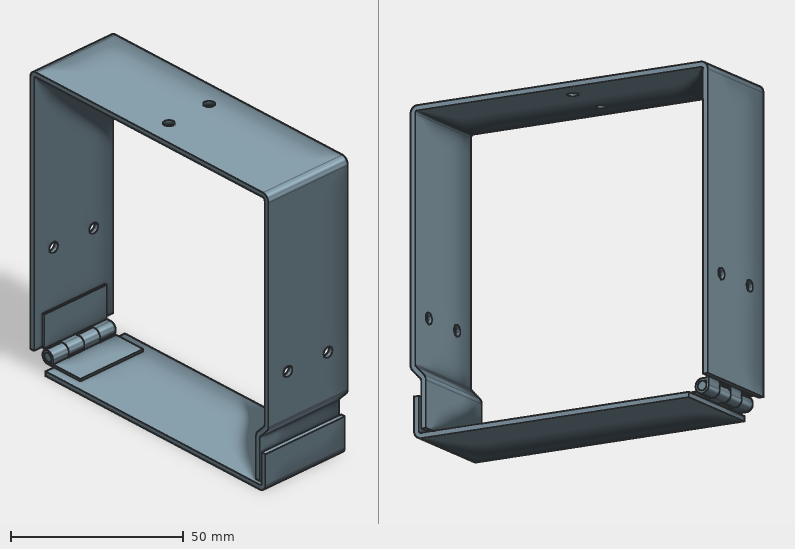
import cadquery as cq
import math


FRAME_WIDTH = 100.0
FRAME_HEIGHT = 99.9
STRAP_WIDTH = 31.7
STRAP_THICKNESS = 1.6
BEND_OUTER_RADIUS = 2.4
BEND_INNER_RADIUS = BEND_OUTER_RADIUS - STRAP_THICKNESS

LEFT_WALL_END_Z = 6.4
RIGHT_WALL_END_Z = 2.9
JOG_DEPTH = 3.6
JOG_START_Z = 21.4
JOG_END_Z = 17.6

FLOOR_START_X = -43.6
LIP_INSET = 1.2
LIP_TOP_Z = 12.8

HOLE_DIAMETER = 3.5
HOLE_SPACING = 16.0
SIDE_HOLE_Z = 37.9

HINGE_WIDTH = 25.0
KNUCKLE_COUNT = 4
KNUCKLE_WIDTH = HINGE_WIDTH / KNUCKLE_COUNT
PIN_DIAMETER = 2.9
LEAF_THICKNESS = 0.8
KNUCKLE_RADIUS = PIN_DIAMETER / 2 + LEAF_THICKNESS
LEAF_REACH = 13.7

LEFT_X = -FRAME_WIDTH / 2
RIGHT_X = FRAME_WIDTH / 2
PIN_X = LEFT_X + STRAP_THICKNESS + KNUCKLE_RADIUS
PIN_Z = STRAP_THICKNESS + KNUCKLE_RADIUS


def hinge_box(x_range, z_range, y_start, width):
    """Box between two X and two Z limits, running from y_start towards +Y."""
    size_x = x_range[1] - x_range[0]
    size_z = z_range[1] - z_range[0]
    box = cq.Workplane("XY").box(size_x, width, size_z, centered=False)
    return box.translate((x_range[0], y_start, z_range[0]))


def strap(path_points, corner_radii):
    """Bent strip whose outer face follows path_points, with the material on the right of travel.

    Each inner path point is a bend. A bend is rounded with its pair of radii:
    the first on the outer face, the second on the inner face.
    """
    directions = []
    for start, end in zip(path_points, path_points[1:]):
        length = math.dist(start, end)
        directions.append(((end[0] - start[0]) / length, (end[1] - start[1]) / length))
    neighbours = zip([directions[0]] + directions, directions + [directions[-1]])
    inner_points = []
    for point, (before, after) in zip(path_points, neighbours):
        scale = STRAP_THICKNESS / (1 + before[0] * after[0] + before[1] * after[1])
        offset_x = (before[1] + after[1]) * scale
        offset_z = -(before[0] + after[0]) * scale
        inner_points.append((point[0] + offset_x, point[1] + offset_z))

    outline = cq.Workplane("XZ").polyline(path_points + inner_points[::-1]).close()
    body = outline.extrude(STRAP_WIDTH / 2, both=True)
    for outer, inner, radii in zip(path_points[1:-1], inner_points[1:-1], corner_radii):
        for (x, z), radius in zip((outer, inner), radii):
            corner_edge = cq.selectors.NearestToPointSelector((x, 0, z))
            body = body.edges("|Y").edges(corner_edge).fillet(radius)
    return body


def upper_strap():
    path = [
        (LEFT_X, LEFT_WALL_END_Z),
        (LEFT_X, FRAME_HEIGHT),
        (RIGHT_X, FRAME_HEIGHT),
        (RIGHT_X, JOG_START_Z),
        (RIGHT_X - JOG_DEPTH, JOG_END_Z),
        (RIGHT_X - JOG_DEPTH, RIGHT_WALL_END_Z),
    ]
    convex_bend = (BEND_OUTER_RADIUS, BEND_INNER_RADIUS)
    concave_bend = (BEND_INNER_RADIUS, BEND_OUTER_RADIUS)
    body = strap(path, [convex_bend, convex_bend, convex_bend, concave_bend])

    half_spacing = HOLE_SPACING / 2
    top_holes = (
        cq.Workplane("XY", origin=(0, 0, FRAME_HEIGHT))
        .pushPoints([(0, -half_spacing), (0, half_spacing)])
        .circle(HOLE_DIAMETER / 2)
        .extrude(-2 * STRAP_THICKNESS)
    )
    side_holes = (
        cq.Workplane("YZ", origin=(0, 0, SIDE_HOLE_Z))
        .pushPoints([(-half_spacing, 0), (half_spacing, 0)])
        .circle(HOLE_DIAMETER / 2)
        .extrude(FRAME_WIDTH, both=True)
    )
    return body.cut(top_holes).cut(side_holes)


def lower_strap():
    lip_x = RIGHT_X - LIP_INSET
    path = [(lip_x, LIP_TOP_Z), (lip_x, 0.0), (FLOOR_START_X, 0.0)]
    return strap(path, [(BEND_OUTER_RADIUS, BEND_INNER_RADIUS)])


def knuckle_starts(first):
    """Y starts of every second knuckle, counted from the -Y end of the hinge."""
    return [-HINGE_WIDTH / 2 + i * KNUCKLE_WIDTH for i in range(first, KNUCKLE_COUNT, 2)]


def pin_cylinder(radius, y_start, width):
    """Cylinder on the pin axis, running from y_start towards +Y."""
    disc = cq.Workplane("XZ", origin=(PIN_X, y_start, PIN_Z)).circle(radius)
    return disc.extrude(-width)


def curl_solid(radius, y_start):
    """Knuckle-long cylinder on the pin axis with one square corner towards +X, -Z.

    The curl covers three quarters of a turn and closes with two straight tangents.
    """
    corner = hinge_box((PIN_X, PIN_X + radius), (PIN_Z - radius, PIN_Z), y_start, KNUCKLE_WIDTH)
    return pin_cylinder(radius, y_start, KNUCKLE_WIDTH).union(corner)


def knuckle(y_start):
    """Hollow curl around the pin."""
    return curl_solid(KNUCKLE_RADIUS, y_start).cut(curl_solid(PIN_DIAMETER / 2, y_start))


def floor_leaf():
    """Flat leaf on the floor of the lower strap, with every second knuckle from the -Y end."""
    outer_z = PIN_Z - KNUCKLE_RADIUS
    leaf = hinge_box(
        (PIN_X + KNUCKLE_RADIUS, PIN_X + LEAF_REACH),
        (outer_z, outer_z + LEAF_THICKNESS),
        -HINGE_WIDTH / 2,
        HINGE_WIDTH,
    )
    for y_start in knuckle_starts(0):
        leaf = leaf.union(knuckle(y_start))
    return leaf


def wall_leaf():
    """Upright leaf on the left wall, with the other knuckles."""
    outer_x = PIN_X - KNUCKLE_RADIUS
    leaf = hinge_box(
        (outer_x, outer_x + LEAF_THICKNESS),
        (PIN_Z + KNUCKLE_RADIUS, PIN_Z + LEAF_REACH),
        -HINGE_WIDTH / 2,
        HINGE_WIDTH,
    )
    for y_start in knuckle_starts(1):
        leaf = leaf.union(knuckle(y_start).rotate((PIN_X, 0, PIN_Z), (PIN_X, 1, PIN_Z), 180))
    return leaf


def hinge_pin():
    return pin_cylinder(PIN_DIAMETER / 2, -HINGE_WIDTH / 2, HINGE_WIDTH)


bodies = [upper_strap(), lower_strap(), wall_leaf(), floor_leaf(), hinge_pin()]
result = cq.Compound.makeCompound([body.val() for body in bodies])